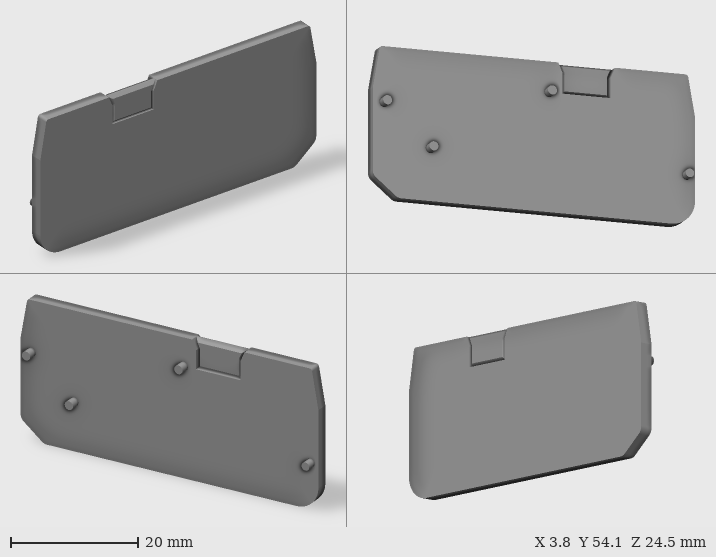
import cadquery as cq
import math

plate_thickness = 2.2
plate_length = 54.1
plate_height = 24.5
half_length = plate_length / 2

taper_height = 6.9
taper_angle = 10
taper_width = taper_height * math.tan(math.radians(taper_angle))
top_corner_radius = 0.5
chamfer_length = 4.25
chamfer_height = 3.5
chamfer_blend_radius = 1.5
bottom_corner_radius = 4.0

pin_length = 1.6
pin_clearance = 0.05
pin_groove_depth = 0.5
pins = [
    (25.15, 15.4, 1.5),
    (17.37, 8.6, 1.5),
    (-2.53, 19.5, 1.5),
    (-25.61, 8.1, 1.4),
]

window_center = -8.86
window_width = 8.05
window_depth = 5.0
window_mouth_width = 9.5
window_flare_depth = 1.7
tongue_front = 0.4
tongue_rim_front = 1.4
tongue_rim_back = 1.6
tongue_bevel = 0.5


def polygon_at(x, points):
    """Closed (Y, Z) outline in the plane at the given X."""
    return cq.Workplane("YZ", origin=(x, 0, 0)).polyline(points).close()


def edges_at(body, y, z):
    """Edge of the plate outline nearest to the point (y, z)."""
    return body.edges("|X").edges(cq.NearestToPointSelector((plate_thickness / 2, y, z)))


def make_plate():
    taper_z = plate_height - taper_height
    top_y = half_length - taper_width
    chamfer_y = half_length - chamfer_length
    body = polygon_at(0, [
        (-half_length, 0),
        (chamfer_y, 0),
        (half_length, chamfer_height),
        (half_length, taper_z),
        (top_y, plate_height),
        (-top_y, plate_height),
        (-half_length, taper_z),
    ]).extrude(plate_thickness)
    corner_radii = [
        (-half_length, 0, bottom_corner_radius),
        (chamfer_y, 0, chamfer_blend_radius),
        (half_length, chamfer_height, chamfer_blend_radius),
        (top_y, plate_height, top_corner_radius),
        (-top_y, plate_height, top_corner_radius),
    ]
    for y, z, radius in corner_radii:
        body = edges_at(body, y, z).fillet(radius)
    return body


def window_outline():
    mouth = window_mouth_width / 2
    half_width = window_width / 2
    flare_z = plate_height - window_flare_depth
    bottom_z = plate_height - window_depth
    left_side = [(-mouth, plate_height), (-half_width, flare_z), (-half_width, bottom_z)]
    right_side = [(-y, z) for y, z in reversed(left_side)]
    return [(window_center + y, z) for y, z in left_side + right_side]


def tongue_bevel_body(rim_x, face_x):
    """Frustum from the full window outline at rim_x to the inset outline at face_x."""
    outline = window_outline()
    rim = polygon_at(rim_x, outline).wire().val()
    face = polygon_at(face_x, outline).offset2D(-tongue_bevel).val()
    return cq.Workplane(cq.Solid.makeLoft([rim, face], True))


def make_tongue():
    rim = polygon_at(tongue_rim_front, window_outline()).extrude(tongue_rim_back - tongue_rim_front)
    front = tongue_bevel_body(tongue_rim_front, tongue_front)
    back = tongue_bevel_body(tongue_rim_back, plate_thickness)
    return rim.union(front).union(back)


def pin_cylinder(x, y, z, diameter, length):
    return cq.Workplane("YZ", origin=(x, y, z)).circle(diameter / 2).extrude(length)


def add_pin(body, y, z, diameter):
    """Stand a pin on the plate, rooted in a slightly wider blind hole."""
    hole = pin_cylinder(0, y, z, diameter + 2 * pin_clearance, pin_groove_depth)
    pin = pin_cylinder(-pin_length, y, z, diameter, pin_length + pin_groove_depth)
    return body.cut(hole).union(pin)


window = polygon_at(0, window_outline()).extrude(plate_thickness)
result = make_plate().cut(window).union(make_tongue())
for pin_y, pin_z, pin_diameter in pins:
    result = add_pin(result, pin_y, pin_z, pin_diameter)